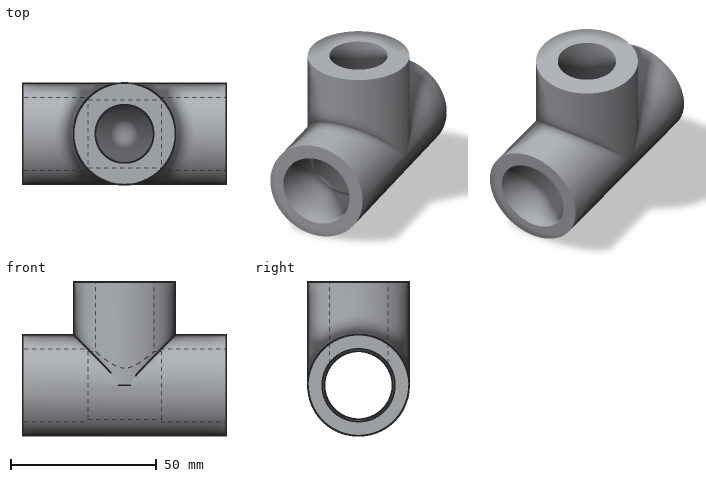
import cadquery as cq

run_length = 70.0
run_diameter = 34.8
run_bore_diameter = 23.3
socket_diameter = 25.0
socket_depth = 22.4

branch_diameter = 35.0
branch_bore_diameter = 20.0
overall_height = 52.9
branch_height = overall_height - run_diameter / 2


def run_cylinder(diameter, start_x, length):
    """Cylinder on the run axis, from start_x towards +X."""
    return cq.Workplane("YZ", origin=(start_x, 0, 0)).circle(diameter / 2).extrude(length)


def branch_cylinder(diameter):
    """Cylinder on the branch axis, from the run axis up to the branch mouth."""
    return cq.Workplane("XY").circle(diameter / 2).extrude(branch_height)


run_start = -run_length / 2
tee = run_cylinder(run_diameter, run_start, run_length).union(branch_cylinder(branch_diameter))

tee = tee.cut(run_cylinder(run_bore_diameter, run_start, run_length))
for socket_start in (run_start, -run_start - socket_depth):
    tee = tee.cut(run_cylinder(socket_diameter, socket_start, socket_depth))

result = tee.cut(branch_cylinder(branch_bore_diameter))